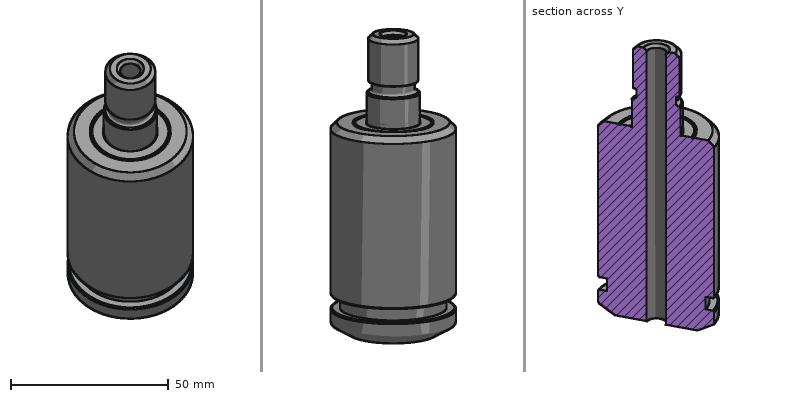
import cadquery as cq
import math

total_height = 98.0
body_diameter = 40.0
body_radius = body_diameter / 2

body_top = 69.0
body_top_chamfer = 2.1
groove_diameter = 34.0
groove_bottom = 8.3
groove_top = 12.6
groove_edge_chamfer = 0.5
base_radius = 14.1
base_cone_angle = 30.0
base_edge_fillet = 1.0

cap_diameter = 25.0
cap_seam_depth = 0.4
cap_inner_chamfer = 0.3

rod_diameter = 17.0
relief_diameter = 16.9
relief_top = 70.5
relief_taper_height = 0.4
neck_diameter = 13.7
neck_bottom = 79.2
neck_top = 82.6
neck_fillet = 0.8
neck_edge_chamfer = 0.5
tip_diameter = 16.0
tip_lower_chamfer = 0.245
tip_chamfer = 1.5

bore_diameter = 6.5
bore_chamfer = 1.1


def turned_body():
    """Body with a ring groove above a conical base."""
    groove_radius = groove_diameter / 2
    cap_radius = cap_diameter / 2
    chamfered_radius = body_radius - groove_edge_chamfer
    rod_hole_radius = relief_diameter / 2
    cone_angle = math.radians(base_cone_angle)
    cone_height = (body_radius - base_radius) * math.tan(cone_angle)

    arc_angle = math.pi / 2 - cone_angle
    tangent_length = base_edge_fillet * math.tan(arc_angle / 2)
    arc_center_radius = body_radius - base_edge_fillet
    arc_top = cone_height + tangent_length

    def base_arc_point(angle):
        """Point on the base edge arc, turned down from the cylinder by an angle."""
        return (
            arc_center_radius + base_edge_fillet * math.cos(angle),
            arc_top - base_edge_fillet * math.sin(angle),
        )

    profile = (
        cq.Workplane("XZ")
        .lineTo(base_radius, 0)
        .lineTo(*base_arc_point(arc_angle))
        .threePointArc(base_arc_point(arc_angle / 2), base_arc_point(0))
        .lineTo(body_radius, groove_bottom - groove_edge_chamfer)
        .lineTo(chamfered_radius, groove_bottom)
        .lineTo(groove_radius, groove_bottom)
        .lineTo(groove_radius, groove_top)
        .lineTo(chamfered_radius, groove_top)
        .lineTo(body_radius, groove_top + groove_edge_chamfer)
        .lineTo(body_radius, body_top - body_top_chamfer)
        .lineTo(body_radius - body_top_chamfer, body_top)
        .lineTo(cap_radius + cap_seam_depth, body_top)
        .lineTo(cap_radius, body_top - cap_seam_depth)
        .lineTo(cap_radius - cap_seam_depth, body_top)
        .lineTo(rod_hole_radius + cap_inner_chamfer, body_top)
        .lineTo(rod_hole_radius, body_top - cap_inner_chamfer)
        .lineTo(0, body_top - cap_inner_chamfer)
        .close()
    )
    return profile.revolve(360, (0, 0, 0), (0, 1, 0))


def rod():
    """Stepped rod with a rounded neck below its tip."""
    rod_radius = rod_diameter / 2
    relief_radius = relief_diameter / 2
    neck_radius = neck_diameter / 2
    tip_radius = tip_diameter / 2
    fillet_radius = neck_radius + neck_fillet
    rod_bottom = groove_top
    profile = (
        cq.Workplane("XZ")
        .moveTo(0, rod_bottom)
        .lineTo(relief_radius, rod_bottom)
        .lineTo(relief_radius, relief_top - relief_taper_height)
        .lineTo(rod_radius, relief_top)
        .lineTo(rod_radius, neck_bottom - neck_edge_chamfer)
        .lineTo(rod_radius - neck_edge_chamfer, neck_bottom)
        .lineTo(fillet_radius, neck_bottom)
        .radiusArc((neck_radius, neck_bottom + neck_fillet), neck_fillet)
        .lineTo(neck_radius, neck_top - neck_fillet)
        .radiusArc((fillet_radius, neck_top), neck_fillet)
        .lineTo(tip_radius - tip_lower_chamfer, neck_top)
        .lineTo(tip_radius, neck_top + tip_lower_chamfer)
        .lineTo(tip_radius, total_height - tip_chamfer)
        .lineTo(tip_radius - tip_chamfer, total_height)
        .lineTo(0, total_height)
        .close()
    )
    return profile.revolve(360, (0, 0, 0), (0, 1, 0))


def bore():
    """Through bore widened by a chamfer at the rod tip."""
    bore_radius = bore_diameter / 2
    profile = (
        cq.Workplane("XZ")
        .lineTo(bore_radius, 0)
        .lineTo(bore_radius, total_height - bore_chamfer)
        .lineTo(bore_radius + bore_chamfer, total_height)
        .lineTo(0, total_height)
        .close()
    )
    return profile.revolve(360, (0, 0, 0), (0, 1, 0))


result = turned_body().union(rod()).cut(bore())